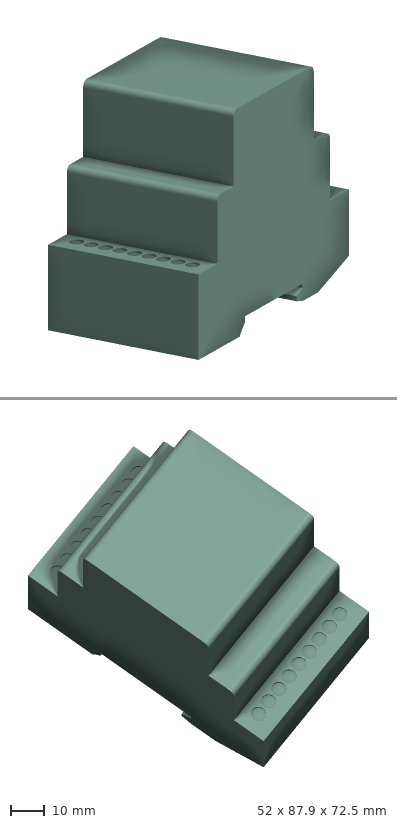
import cadquery as cq

width = 52.0
depth = 87.94
height = 72.5

seam_height = 11.5
terminal_height = 27.0
shoulder_height = 48.5

shoulder_depth = 65.9
crown_depth = 46.9
step_fillet = 2.0

well_count = 9
well_pitch = 5.0
well_diameter = 4.5
well_depth = 0.5
well_row_offset = 37.5

rail_half_width = 16.9
rail_recess = 5.5
hook_reach = 3.5
hook_root_height = 4.1
hook_tip_top = 2.6
hook_tip_bottom = 1.0
ramp_height = 6.0
ramp_end_y = 26.0
lip_height = 3.5
lip_bend_drop = 1.8
lip_run = 3.0


def make_base():
    """Rail-mounting foot: one YZ profile extended along the full width."""
    half_depth = depth / 2
    hook_tip_y = rail_half_width - hook_reach
    outline = [
        (-half_depth, 0),
        (-half_depth, seam_height),
        (half_depth, seam_height),
        (half_depth, ramp_height),
        (ramp_end_y, 0),
        (rail_half_width, 0),
        (hook_tip_y, hook_tip_bottom),
        (hook_tip_y, hook_tip_top),
        (rail_half_width, hook_root_height),
        (rail_half_width, rail_recess),
        (-rail_half_width, rail_recess),
        (-rail_half_width, lip_height),
        (-rail_half_width - lip_bend_drop, lip_height - lip_bend_drop),
        (-rail_half_width - lip_run, 0),
    ]
    return cq.Workplane("YZ").polyline(outline).close().extrude(width / 2, both=True)


def make_tier(tier_depth, top_height):
    """Full-width block standing on the seam."""
    return (
        cq.Workplane("XY")
        .workplane(offset=seam_height)
        .rect(width, tier_depth)
        .extrude(top_height - seam_height)
    )


def make_cover():
    """Stepped housing with rounded steps and two rows of screw wells."""
    ledge = make_tier(depth, terminal_height)
    shoulder = make_tier(shoulder_depth, shoulder_height).edges("|X and >Z").fillet(step_fillet)
    crown = make_tier(crown_depth, height).edges("|X and >Z").fillet(step_fillet)
    wells = (
        cq.Workplane("XY")
        .workplane(offset=terminal_height - well_depth)
        .rarray(well_pitch, 2 * well_row_offset, well_count, 2)
        .circle(well_diameter / 2)
        .extrude(well_depth)
    )
    return ledge.union(shoulder).union(crown).cut(wells)


base = make_base()
cover = make_cover()

result = cq.Compound.makeCompound([base.val(), cover.val()])